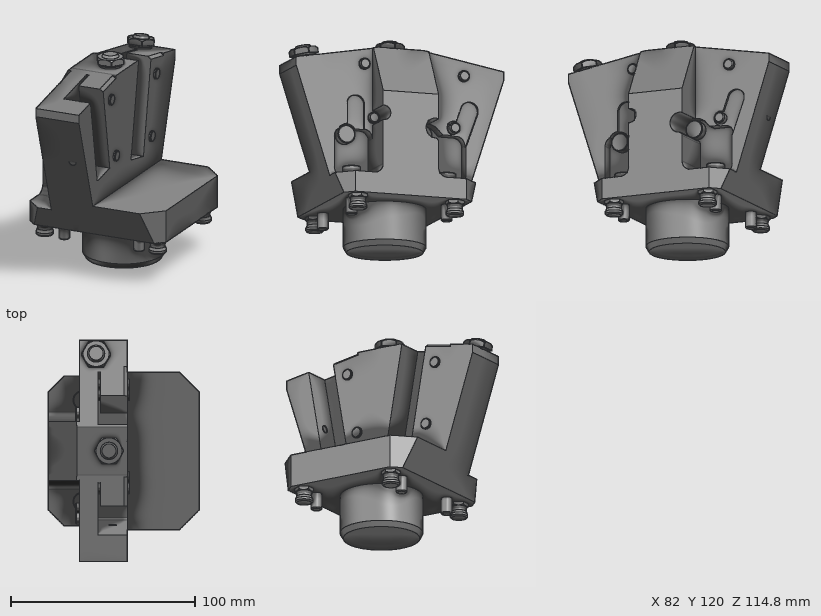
import cadquery as cq
import math

BASE_HALF_LENGTH = 41.0
BASE_HEIGHT = 18.0
BASE_CORNER_Y = 32.0
BASE_HALF_WIDTH = 36.93
FOOT_HEIGHT = 11.4
PLATE_FRONT_X = -24.0
PLATE_BACK_X = 2.0
TOP_HEIGHT = 84.0
TOP_HALF_WIDTH = 13.0
TOP_TILT = 10.0
SHOULDER_HALF_WIDTH = 60.0
FLANK_ANGLE = 18.0
COLUMN_HALF_WIDTH = 16.0
WEDGE_START_HEIGHT = 57.0
WEDGE_ANGLE = 30.0

OVERSIZE = 200.0
EMBED = 1.0

TILT_SIN = math.sin(math.radians(TOP_TILT))
TILT_COS = math.cos(math.radians(TOP_TILT))
FLANK_SLOPE = math.tan(math.radians(FLANK_ANGLE))
SHOULDER_TOP = TOP_HEIGHT - (SHOULDER_HALF_WIDTH - TOP_HALF_WIDTH) * TILT_SIN / TILT_COS
SHOULDER_BOTTOM = (SHOULDER_HALF_WIDTH - BASE_HALF_WIDTH) / FLANK_SLOPE

POCKET_FLOOR_X = -17.5
POCKET_OUTER_Y = 38.0
POCKET_TOP = 38.4
POCKET_RADIUS = 5.0
SLOT_RADIUS = 5.0
SLOT_DEPTH = 1.5
SLOT_FLOOR_X = PLATE_FRONT_X + SLOT_DEPTH
UPRIGHT_SLOT_TOP = (25.5, 52.0)
UPRIGHT_SLOT_ANGLE = 0.0
LEANING_SLOT_TOP = (-40.2, 52.6)
LEANING_SLOT_ANGLE = 20.0
SLOT_LENGTH = 18.0

CAP_SCREWS = [(30.2, 35.4), (-14.3, 38.2)]
CAP_HEAD_DIAMETER = 10.0
CAP_HEAD_FRONT_X = -22.2
CAP_CLEARANCE_DIAMETER = 11.0
CAP_HEAD_CHAMFER = 0.4
RELIEF_RADIUS = 8.0
RELIEF_ANGLE = 45.0
GROOVE_LIP_RADIUS = 2.0

UPPER_DOWELS = [(20.8, 74.4), (-36.6, 71.5)]
LOWER_DOWELS = [(15.6, 44.8), (-31.2, 42.4)]
DOWEL_DIAMETER = 6.0
DOWEL_FRONT_X = -26.2
DOWEL_CHAMFER = 0.6
DOWEL_END_X = -20.0
DOWEL_CLEARANCE_DIAMETER = 8.0
DOWEL_CLEARANCE_FLOORS_X = [PLATE_FRONT_X, SLOT_FLOOR_X]

RECESS_FLOOR_X = -14.0
RECESS_CORNER_RADIUS = 1.2
SLOPE_CLEARANCE = 3.0
SLIDE_GAP = 1.4
SLIDE_EDGE_CHAMFER_WIDTH = 2.0
SLIDE_EDGE_CHAMFER_DEPTH = 1.4
SLIDE_FACE_Y = 30.0
PLUS_Y_RECESS = (14.4, 42.7)
PLUS_Y_RECESS_DEPTH = 55.0
PLUS_Y_CHAMFER_END_Y = 45.8
MINUS_Y_RECESS = (17.3, 45.7)
MINUS_Y_RECESS_DEPTH = 48.4
MINUS_Y_CHAMFER_END_Y = 14.2
SLIDE_PINS = CAP_SCREWS + [(36.0, 69.5), (-20.4, 72.3)]
SLIDE_PIN_DIAMETER = 6.0
SLIDE_PIN_BACK_X = 3.2
SLIDE_PIN_FRONT_X = -16.0
SLIDE_PIN_CHAMFER = 0.4
SET_SCREW_DIAMETER = 4.2
SET_SCREW_X = -6.0
SET_SCREW_DEPTH_ON_WALL = 31.7
SET_SCREW_RECESS = 0.5

NUT_FLATS = 14.0
NUT_CORNER_DIAMETER = 15.9
NUT_CHAMFER = 0.9
COLLAR_DIAMETER = 12.6
WASHER_DIAMETER = 12.0
COLLAR_HEIGHT = 0.9
WASHER_HEIGHT = 1.9
NUT_TOP = 5.3
TIP_BASE_DIAMETER = 9.4
TIP_TOP_DIAMETER = 7.6
TIP_TOP = 6.78
CENTRE_NUT_X = -8.0
TILTED_NUT_X = -15.0
TILTED_NUT_Y = 51.8

SPIGOT_DIAMETER = 45.0
SPIGOT_LENGTH = 24.0
SPIGOT_CHAMFER_LENGTH = 3.0
SPIGOT_CHAMFER_ANGLE = 30.0
SCREW_X = 22.5
SCREW_Y = 27.5
SCREW_TIP_DIAMETER = 6.0
SCREW_TIP_LENGTH = 8.9
SCREW_TIP_CHAMFER = 0.6
SCREW_HEAD_DIAMETER = 10.0
SCREW_HEAD_HEIGHT = 5.9
SCREW_HEAD_CHAMFER = 0.4
NIPPLE_X = 34.0
NIPPLE_Y = 28.0
NIPPLE_HEX_FLATS = 9.0
NIPPLE_HEX_HEIGHT = 2.1
NIPPLE_HEX_CHAMFER = 0.8
NIPPLE_SHOULDER_RADIUS = 4.3
NIPPLE_NECK_RADIUS = 4.05
NIPPLE_NECK_START = 3.3
NIPPLE_NECK_END = 4.5
NIPPLE_BULGE_RADIUS = 4.8
NIPPLE_BULGE_START = 6.1
NIPPLE_BULGE_END = 7.3
NIPPLE_LENGTH = 8.1


def box(x_range, y_range, z_range):
    """Box between two limits on each axis."""
    size = [high - low for low, high in (x_range, y_range, z_range)]
    corner = (x_range[0], y_range[0], z_range[0])
    return cq.Workplane("XY").box(*size, centered=False).translate(corner)


def sketch_at(x):
    """Plane at the given X whose local axes are Y and Z, extruding toward +X."""
    return cq.Workplane("YZ", origin=(x, 0, 0))


def rod(center, diameter, x_start, x_end):
    """Cylinder along X about the axis (Y, Z)."""
    return sketch_at(x_start).center(*center).circle(diameter / 2).extrude(x_end - x_start)


def make_body():
    """Base, sloping-topped plate and wedge-fronted column."""
    half_outline = [
        (BASE_HALF_WIDTH, 0),
        (SHOULDER_HALF_WIDTH, SHOULDER_BOTTOM),
        (SHOULDER_HALF_WIDTH, SHOULDER_TOP),
        (TOP_HALF_WIDTH, TOP_HEIGHT),
    ]
    outline = half_outline + [(-y, z) for y, z in reversed(half_outline)]
    length = 2 * BASE_HALF_LENGTH
    prism = sketch_at(-BASE_HALF_LENGTH).polyline(outline).close().extrude(length)

    corner_cut = SHOULDER_HALF_WIDTH - BASE_CORNER_Y
    base_plan = (
        cq.Workplane("XY").rect(length, 2 * SHOULDER_HALF_WIDTH).extrude(BASE_HEIGHT)
        .edges("|Z").chamfer(corner_cut)
    )
    base = prism.intersect(base_plan)
    plate = prism.intersect(
        box((PLATE_FRONT_X, PLATE_BACK_X), (-OVERSIZE, OVERSIZE), (0, OVERSIZE))
    )

    wedge_run = (TOP_HEIGHT - WEDGE_START_HEIGHT) * math.tan(math.radians(WEDGE_ANGLE))
    column_profile = [
        (-BASE_HALF_LENGTH, 0),
        (-BASE_HALF_LENGTH, WEDGE_START_HEIGHT),
        (-BASE_HALF_LENGTH + wedge_run, TOP_HEIGHT),
        (PLATE_FRONT_X, TOP_HEIGHT),
        (PLATE_FRONT_X, 0),
    ]
    column = (
        cq.Workplane("XZ").polyline(column_profile).close()
        .extrude(COLUMN_HALF_WIDTH, both=True).intersect(prism)
    )

    above_foot = box(
        (-OVERSIZE, PLATE_FRONT_X), (-OVERSIZE, OVERSIZE), (FOOT_HEIGHT, OVERSIZE)
    )
    body = base.cut(above_foot).union(plate).union(column)
    foot_edges = cq.selectors.BoxSelector(
        (-BASE_HALF_LENGTH - EMBED, -COLUMN_HALF_WIDTH - EMBED, FOOT_HEIGHT - EMBED),
        (PLATE_FRONT_X + EMBED, COLUMN_HALF_WIDTH + EMBED, FOOT_HEIGHT + EMBED),
    )
    return body.edges("|X").edges(foot_edges).fillet(POCKET_RADIUS)


def make_pocket(side):
    """Round-cornered pocket beside the column; side is +1 or -1 along Y."""
    width = POCKET_OUTER_Y - COLUMN_HALF_WIDTH
    height = POCKET_TOP - FOOT_HEIGHT
    return (
        sketch_at(PLATE_FRONT_X)
        .center(side * (COLUMN_HALF_WIDTH + width / 2), FOOT_HEIGHT + height / 2)
        .rect(width, height).extrude(POCKET_FLOOR_X - PLATE_FRONT_X)
        .edges("|X").fillet(POCKET_RADIUS)
    )


def make_slot(top_center, angle):
    """Shallow round-ended slot running down from its top centre into a pocket."""
    return (
        sketch_at(PLATE_FRONT_X).center(*top_center)
        .transformed(rotate=(0, 0, angle))
        .center(0, -SLOT_LENGTH / 2)
        .slot2D(SLOT_LENGTH + 2 * SLOT_RADIUS, 2 * SLOT_RADIUS, 90).extrude(SLOT_DEPTH)
    )


def arc_point(start_y, start_z, angle):
    """Point on the relief arc that leaves its level start toward -Y and turns down by the angle."""
    turn = math.radians(angle)
    return (start_y - RELIEF_RADIUS * math.sin(turn), start_z - RELIEF_RADIUS * (1 - math.cos(turn)))


def make_groove_relief(center):
    """Rounded relief joining a cap screw groove to the top of the -Y pocket."""
    y = -COLUMN_HALF_WIDTH
    z = center[1] + CAP_CLEARANCE_DIAMETER / 2
    mid_y, mid_z = arc_point(y, z, RELIEF_ANGLE / 2)
    end_y, end_z = arc_point(y, z, RELIEF_ANGLE)
    foot_z = POCKET_TOP - POCKET_RADIUS
    foot_run = (end_z - foot_z) / math.tan(math.radians(RELIEF_ANGLE))
    return (
        sketch_at(PLATE_FRONT_X).moveTo(center[0], z).lineTo(y, z)
        .threePointArc((mid_y, mid_z), (end_y, end_z))
        .lineTo(end_y - foot_run, foot_z).lineTo(center[0], foot_z).close()
        .extrude(POCKET_FLOOR_X - PLATE_FRONT_X)
    )


def make_groove_lip(center):
    """Sliver that rounds the lower lip between a cap screw groove and the column side."""
    wall_y = -COLUMN_HALF_WIDTH
    groove_radius = CAP_CLEARANCE_DIAMETER / 2
    lip_y = wall_y + GROOVE_LIP_RADIUS
    reach = groove_radius + GROOVE_LIP_RADIUS
    lip_z = center[1] - math.sqrt(reach ** 2 - (lip_y - center[0]) ** 2)
    corner = box((-BASE_HALF_LENGTH, POCKET_FLOOR_X), (wall_y, lip_y), (lip_z, center[1]))
    return corner.cut(rod((lip_y, lip_z), 2 * GROOVE_LIP_RADIUS, -OVERSIZE, OVERSIZE))


def cut_front(body):
    """Pockets, slots and the clearances around screws and dowels."""
    for side in (1, -1):
        body = body.cut(make_pocket(side))
    body = body.cut(make_slot(UPRIGHT_SLOT_TOP, UPRIGHT_SLOT_ANGLE))
    body = body.cut(make_slot(LEANING_SLOT_TOP, LEANING_SLOT_ANGLE))
    for center in CAP_SCREWS:
        body = body.cut(rod(center, CAP_CLEARANCE_DIAMETER, -BASE_HALF_LENGTH, POCKET_FLOOR_X))
    for center, floor_x in zip(LOWER_DOWELS, DOWEL_CLEARANCE_FLOORS_X):
        body = body.cut(rod(center, DOWEL_CLEARANCE_DIAMETER, -BASE_HALF_LENGTH, floor_x))
    groove_center = CAP_SCREWS[1]
    return body.cut(make_groove_relief(groove_center)).cut(make_groove_lip(groove_center))


def slope_point(y, depth, side):
    """(Y, Z) of a point at a depth square to the sloping top, starting at |Y| = y."""
    surface_z = TOP_HEIGHT - (y - TOP_HALF_WIDTH) * TILT_SIN / TILT_COS
    return (side * (y - depth * TILT_SIN), surface_z - depth * TILT_COS)


def slope_prism(y_range, depth, side, x_front):
    """Prism sunk square to the sloping top, reaching from x_front to the plate back."""
    corners = [
        slope_point(y_range[0], -SLOPE_CLEARANCE, side),
        slope_point(y_range[1], -SLOPE_CLEARANCE, side),
        slope_point(y_range[1], depth, side),
        slope_point(y_range[0], depth, side),
    ]
    return sketch_at(x_front).polyline(corners).close().extrude(PLATE_BACK_X - x_front)


def cut_recess(body, side, recess, depth, slide):
    """Slide recess, keeping the slide itself behind a narrow gap."""
    pocket = slope_prism(recess, depth, side, RECESS_FLOOR_X).edges("|X").fillet(RECESS_CORNER_RADIUS)
    kept = slope_prism(slide, depth + EMBED, side, RECESS_FLOOR_X + SLIDE_GAP)
    return body.cut(pocket.cut(kept))


def cut_slide_edge(body, side, y_range):
    """Chamfer along the upper back edge of a slide."""
    start_y = y_range[0] if side > 0 else y_range[1]
    length = (y_range[1] - y_range[0]) / TILT_COS
    along_slope = cq.Plane(
        origin=(PLATE_BACK_X, *slope_point(start_y, 0, side)),
        xDir=(1, 0, 0),
        normal=(0, TILT_COS, -side * TILT_SIN),
    )
    corners = [(-SLIDE_EDGE_CHAMFER_WIDTH, 0), (0, 0), (0, SLIDE_EDGE_CHAMFER_DEPTH)]
    return body.cut(cq.Workplane(along_slope).polyline(corners).close().extrude(length))


def fit_set_screw(body):
    """Set screw filling a cross hole from the -Y recess to the flank, parallel to the sloping top."""
    wall_y, wall_z = slope_point(MINUS_Y_RECESS[1], SET_SCREW_DEPTH_ON_WALL, -1)
    flank_y = -(BASE_HALF_WIDTH + wall_z * FLANK_SLOPE)
    length = (wall_y - flank_y) / (TILT_COS + TILT_SIN * FLANK_SLOPE)
    start = cq.Vector(SET_SCREW_X, wall_y, wall_z)
    outward = cq.Vector(0, -TILT_COS, -TILT_SIN)
    radius = SET_SCREW_DIAMETER / 2
    screw = cq.Solid.makeCylinder(radius, length, start, outward)
    recessed_end = cq.Solid.makeCylinder(radius, SET_SCREW_RECESS, start, outward)
    return body.union(cq.Workplane(screw)).cut(cq.Workplane(recessed_end))


def add_rods(body):
    """Cap screw heads, dowels and slide pins along X."""
    for center in CAP_SCREWS:
        head = rod(center, CAP_HEAD_DIAMETER, CAP_HEAD_FRONT_X, POCKET_FLOOR_X + EMBED)
        body = body.union(head.faces("<X").chamfer(CAP_HEAD_CHAMFER))
    for center in UPPER_DOWELS + LOWER_DOWELS:
        dowel = rod(center, DOWEL_DIAMETER, DOWEL_FRONT_X, DOWEL_END_X)
        body = body.union(dowel.faces("<X").chamfer(DOWEL_CHAMFER))
    for center in SLIDE_PINS:
        pin = rod(center, SLIDE_PIN_DIAMETER, SLIDE_PIN_FRONT_X, SLIDE_PIN_BACK_X)
        body = body.union(pin.faces(">X").chamfer(SLIDE_PIN_CHAMFER))
    return body


def hexagon(flats, height):
    """Hexagonal prism with two corners on the X axis."""
    return cq.Workplane("XY").polygon(6, flats / math.cos(math.pi / 6)).extrude(height)


def make_nut():
    """Stepped washer, hexagon nut with bevelled corners and a tapered tip."""
    collar = cq.Workplane("XY").circle(COLLAR_DIAMETER / 2).extrude(COLLAR_HEIGHT + EMBED)
    washer = cq.Workplane("XY").circle(WASHER_DIAMETER / 2).extrude(WASHER_HEIGHT)
    nut_height = NUT_TOP - WASHER_HEIGHT
    bevel = (
        cq.Workplane("XY").circle(NUT_CORNER_DIAMETER / 2).extrude(nut_height)
        .faces(">Z").chamfer(NUT_CHAMFER)
    )
    nut = hexagon(NUT_FLATS, nut_height).intersect(bevel)
    tip = (
        cq.Workplane("XY").circle(TIP_BASE_DIAMETER / 2)
        .workplane(offset=TIP_TOP - NUT_TOP).circle(TIP_TOP_DIAMETER / 2).loft()
    )
    return (
        collar.translate((0, 0, -EMBED)).union(washer)
        .union(nut.translate((0, 0, WASHER_HEIGHT)))
        .union(tip.translate((0, 0, NUT_TOP)))
    )


def add_nuts(body):
    """One nut on the level top and one square to the +Y slope."""
    y, z = slope_point(TILTED_NUT_Y, 0, 1)
    tilted = make_nut().rotate((0, 0, 0), (1, 0, 0), -TOP_TILT).translate((TILTED_NUT_X, y, z))
    return body.union(make_nut().translate((CENTRE_NUT_X, 0, TOP_HEIGHT))).union(tilted)


def make_spigot():
    """Round locating spigot with a steep lead-in chamfer."""
    chamfer_width = SPIGOT_CHAMFER_LENGTH * math.tan(math.radians(SPIGOT_CHAMFER_ANGLE))
    radius = SPIGOT_DIAMETER / 2
    profile = [
        (0, EMBED),
        (radius, EMBED),
        (radius, SPIGOT_CHAMFER_LENGTH - SPIGOT_LENGTH),
        (radius - chamfer_width, -SPIGOT_LENGTH),
        (0, -SPIGOT_LENGTH),
    ]
    return cq.Workplane("XZ").polyline(profile).close().revolve(360, (0, 0, 0), (0, 1, 0))


def make_nipple():
    """Hexagon collar carrying a necked, bulged nipple that points down."""
    corner_radius = NIPPLE_HEX_FLATS / 2 / math.cos(math.pi / 6)
    bevel = (
        cq.Workplane("XY").circle(corner_radius).extrude(NIPPLE_HEX_HEIGHT + EMBED)
        .faces("<Z").chamfer(NIPPLE_HEX_CHAMFER)
    )
    collar = hexagon(NIPPLE_HEX_FLATS, NIPPLE_HEX_HEIGHT + EMBED).intersect(bevel)
    profile = [
        (0, 0),
        (NIPPLE_SHOULDER_RADIUS, 0),
        (NIPPLE_SHOULDER_RADIUS, -NIPPLE_HEX_HEIGHT),
        (NIPPLE_NECK_RADIUS, -NIPPLE_NECK_START),
        (NIPPLE_NECK_RADIUS, -NIPPLE_NECK_END),
        (NIPPLE_BULGE_RADIUS, -NIPPLE_BULGE_START),
        (NIPPLE_BULGE_RADIUS, -NIPPLE_BULGE_END),
        (NIPPLE_NECK_RADIUS, -NIPPLE_LENGTH),
        (0, -NIPPLE_LENGTH),
    ]
    stem = cq.Workplane("XZ").polyline(profile).close().revolve(360, (0, 0, 0), (0, 1, 0))
    return collar.translate((0, 0, -NIPPLE_HEX_HEIGHT)).union(stem)


def add_underside(body):
    """Spigot, four screw ends and four nipples; the two front screws show their heads."""
    body = body.union(make_spigot())
    tip = (
        cq.Workplane("XY").circle(SCREW_TIP_DIAMETER / 2).extrude(-SCREW_TIP_LENGTH)
        .faces("<Z").chamfer(SCREW_TIP_CHAMFER)
    )
    head = (
        cq.Workplane("XY", origin=(0, 0, FOOT_HEIGHT)).circle(SCREW_HEAD_DIAMETER / 2)
        .extrude(SCREW_HEAD_HEIGHT).faces(">Z").chamfer(SCREW_HEAD_CHAMFER)
    )
    for y_side in (1, -1):
        body = body.union(head.translate((-SCREW_X, y_side * SCREW_Y, 0)))
        for x_side in (1, -1):
            body = body.union(tip.translate((x_side * SCREW_X, y_side * SCREW_Y, 0)))
            body = body.union(make_nipple().translate((x_side * NIPPLE_X, y_side * NIPPLE_Y, 0)))
    return body


body = cut_front(make_body())
body = cut_recess(body, 1, PLUS_Y_RECESS, PLUS_Y_RECESS_DEPTH, (SLIDE_FACE_Y, PLUS_Y_RECESS[1] + EMBED))
body = cut_recess(body, -1, MINUS_Y_RECESS, MINUS_Y_RECESS_DEPTH, (MINUS_Y_RECESS[0] - EMBED, SLIDE_FACE_Y))
body = cut_slide_edge(body, 1, (SLIDE_FACE_Y, PLUS_Y_CHAMFER_END_Y))
body = cut_slide_edge(body, -1, (MINUS_Y_CHAMFER_END_Y, SLIDE_FACE_Y))
body = fit_set_screw(body)
result = add_underside(add_nuts(add_rods(body)))